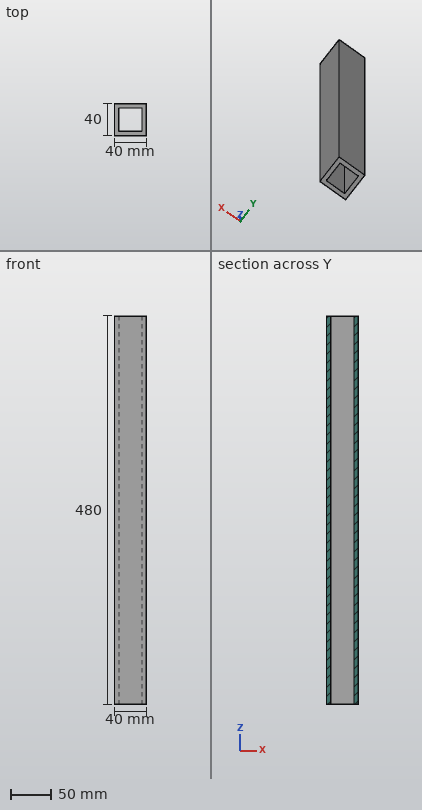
import cadquery as cq

length = 480.0
outer_side = 40.0
wall = 6.0
inner_side = outer_side - 2 * wall

result = (
    cq.Workplane("XY")
    .rect(outer_side, outer_side)
    .rect(inner_side, inner_side)
    .extrude(length)
)